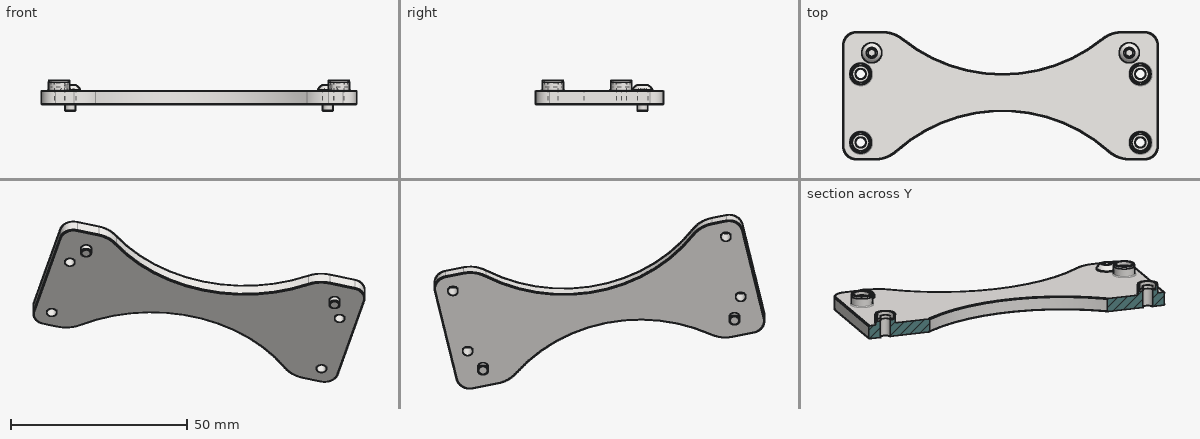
import cadquery as cq
import math

PLATE_LENGTH = 89.45
PLATE_WIDTH = 36.3
PLATE_THICKNESS = 4.0
CORNER_RADIUS = 3.9
EDGE_CHAMFER = 0.3
SCALLOP_RADIUS = 45.0
SCALLOP_X = 0.5
SHOULDER_RADIUS = 9.1
WAIST_BACK_Y = 6.2
WAIST_FRONT_Y = -4.4

BOSS_DIAMETER = 6.1
BOSS_HEIGHT = 2.95
BOSS_TOP_DIAMETER = 5.7
BOSS_TAPER_HEIGHT = 0.5
BOSS_FOOT_FILLET = 0.3
BOSS_BORE_DIAMETER = 4.7
BOSS_BORE_DEPTH = 1.9
SLEEVE_DIAMETER = 3.0
SLEEVE_TOP_DEPTH = 0.8
BOSS_HOLE_DIAMETER = 2.9
BOSS_X = 39.6
BOSS_BACK_Y = 6.2
BOSS_FRONT_Y = -13.2

SCREW_X = 36.5
SCREW_Y = 12.2
SHANK_DIAMETER = 3.0
TIP_LENGTH = 1.9
TIP_CHAMFER = 0.3
HEAD_DIAMETER = 5.7
HEAD_HEIGHT = 1.6
HEAD_TOP_DIAMETER = 3.0
HEAD_RIM_HEIGHT = 0.3
SOCKET_ACROSS_FLATS = 2.0
SOCKET_DEPTH = 1.1

BOSS_POINTS = [(x, y) for x in (-BOSS_X, BOSS_X) for y in (BOSS_FRONT_Y, BOSS_BACK_Y)]
SCREW_POINTS = [(-SCREW_X, SCREW_Y), (SCREW_X, SCREW_Y)]


def scallop_cutter(waist_y, side):
    """Scallop with blended shoulders; side is +1 for the +Y long side, -1 for the -Y one."""
    edge_y = side * PLATE_WIDTH / 2
    scallop_y = waist_y + side * SCALLOP_RADIUS
    shoulder_y = edge_y - side * SHOULDER_RADIUS
    centre_distance = SCALLOP_RADIUS + SHOULDER_RADIUS
    rise = abs(scallop_y - shoulder_y)
    run = math.sqrt(centre_distance**2 - rise**2)

    scallop_share = SCALLOP_RADIUS / centre_distance
    blend_dx = run * scallop_share
    blend_y = scallop_y + (shoulder_y - scallop_y) * scallop_share
    mid_angle = (math.pi / 2 + math.pi - math.atan2(rise, run)) / 2
    mid_dx = run + SHOULDER_RADIUS * math.cos(mid_angle)
    mid_y = shoulder_y + side * SHOULDER_RADIUS * math.sin(mid_angle)

    return (
        cq.Workplane("XY")
        .moveTo(SCALLOP_X - run, edge_y)
        .threePointArc((SCALLOP_X - mid_dx, mid_y), (SCALLOP_X - blend_dx, blend_y))
        .threePointArc((SCALLOP_X, waist_y), (SCALLOP_X + blend_dx, blend_y))
        .threePointArc((SCALLOP_X + mid_dx, mid_y), (SCALLOP_X + run, edge_y))
        .close()
        .extrude(PLATE_THICKNESS)
    )


def make_boss():
    """Solid boss with a chamfered top and a concave fillet at its foot."""
    radius = BOSS_DIAMETER / 2
    foot = BOSS_FOOT_FILLET
    sag = foot * (1 - math.sqrt(0.5))
    return (
        cq.Workplane("XZ")
        .lineTo(radius + foot, 0)
        .threePointArc((radius + sag, sag), (radius, foot))
        .lineTo(radius, BOSS_HEIGHT - BOSS_TAPER_HEIGHT)
        .lineTo(BOSS_TOP_DIAMETER / 2, BOSS_HEIGHT)
        .lineTo(0, BOSS_HEIGHT)
        .close()
        .revolve(360, (0, 0), (0, 1))
    )


def cylinders(workplane, points, diameter, height):
    """Equal cylinders on a workplane; a negative height runs downward."""
    return cq.Workplane(workplane.plane).pushPoints(points).circle(diameter / 2).extrude(height)


def make_plate():
    plate = (
        cq.Workplane("XY")
        .rect(PLATE_LENGTH, PLATE_WIDTH)
        .extrude(PLATE_THICKNESS)
        .edges("|Z")
        .fillet(CORNER_RADIUS)
        .cut(scallop_cutter(WAIST_BACK_Y, 1))
        .cut(scallop_cutter(WAIST_FRONT_Y, -1))
        .faces("<Z or >Z")
        .chamfer(EDGE_CHAMFER)
    )
    boss = make_boss()
    for x, y in BOSS_POINTS:
        plate = plate.union(boss.translate((x, y, PLATE_THICKNESS)))

    bore_floor_z = PLATE_THICKNESS + BOSS_HEIGHT - BOSS_BORE_DEPTH
    bore_floor = cq.Workplane("XY", origin=(0, 0, bore_floor_z))
    base = cq.Workplane("XY")
    sleeve_height = BOSS_BORE_DEPTH - SLEEVE_TOP_DEPTH
    return (
        plate.cut(cylinders(bore_floor, BOSS_POINTS, BOSS_BORE_DIAMETER, BOSS_BORE_DEPTH))
        .union(cylinders(bore_floor, BOSS_POINTS, SLEEVE_DIAMETER, sleeve_height))
        .cut(cylinders(base, BOSS_POINTS, BOSS_HOLE_DIAMETER, PLATE_THICKNESS + BOSS_HEIGHT))
        .cut(cylinders(base, SCREW_POINTS, SHANK_DIAMETER, PLATE_THICKNESS))
    )


def make_screw(x, y):
    """Button-head screw with its head resting on the plate and its tip below the plate."""
    shank_radius = SHANK_DIAMETER / 2
    head_radius = HEAD_DIAMETER / 2
    head_top_z = PLATE_THICKNESS + HEAD_HEIGHT
    top_radius = HEAD_TOP_DIAMETER / 2
    rim_z = PLATE_THICKNESS + HEAD_RIM_HEIGHT
    dome_height = HEAD_HEIGHT - HEAD_RIM_HEIGHT
    sphere_drop = (head_radius**2 - top_radius**2 - dome_height**2) / (2 * dome_height)
    sphere_radius = math.hypot(head_radius, sphere_drop)
    mid_radius = (head_radius + top_radius) / 2
    mid_z = rim_z - sphere_drop + math.sqrt(sphere_radius**2 - mid_radius**2)
    screw = (
        cq.Workplane("XZ")
        .moveTo(0, -TIP_LENGTH)
        .lineTo(shank_radius - TIP_CHAMFER, -TIP_LENGTH)
        .lineTo(shank_radius, TIP_CHAMFER - TIP_LENGTH)
        .lineTo(shank_radius, PLATE_THICKNESS)
        .lineTo(head_radius, PLATE_THICKNESS)
        .lineTo(head_radius, rim_z)
        .threePointArc((mid_radius, mid_z), (top_radius, head_top_z))
        .lineTo(0, head_top_z)
        .close()
        .revolve(360, (0, 0), (0, 1))
    )
    socket_diameter = SOCKET_ACROSS_FLATS / math.cos(math.pi / 6)
    socket = (
        cq.Workplane("XY", origin=(0, 0, head_top_z))
        .transformed(rotate=(0, 0, 30))
        .polygon(6, socket_diameter)
        .extrude(-SOCKET_DEPTH)
    )
    return screw.cut(socket).translate((x, y, 0))


plate = make_plate()
screws = [make_screw(x, y) for x, y in SCREW_POINTS]
result = cq.Compound.makeCompound([plate.val(), *[screw.val() for screw in screws]])